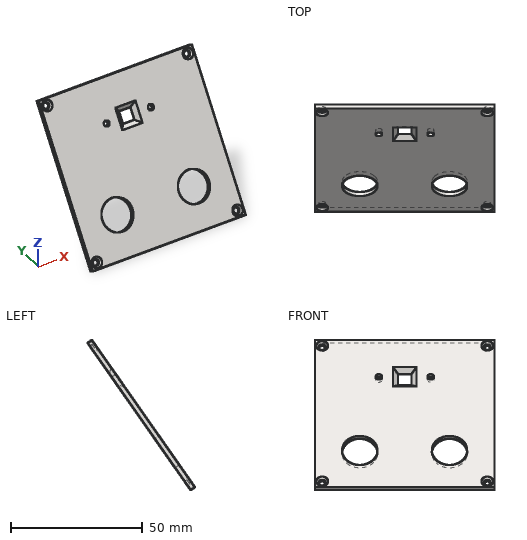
import cadquery as cq

plate_width = 68.5
plate_length = 68.625
plate_thickness = 2.0
tilt_from_horizontal = 55.0

screw_inset = 2.75
screw_diameter = 2.6
countersink_diameter = 4.4
countersink_angle = 90.0

opening_diameter = 13.5
opening_spacing = plate_width / 2
opening_height = -plate_length / 4
opening_offset = -0.03

window_height = plate_length / 4
window_taper_per_side = plate_thickness
window_back_size = 5.0
window_front_size = window_back_size + 2 * window_taper_per_side
side_hole_diameter = 2.4
side_hole_spacing = 19.78


def make_plate():
    """Flat plate centred on the origin, front face up, upper edge towards +Y."""
    return cq.Workplane("XY").box(plate_width, plate_length, plate_thickness)


def front_face(plate):
    """Workplane on the front face of the flat plate, centred on the plate."""
    return plate.faces(">Z").workplane(origin=(0, 0, 0))


def cut_screw_holes(plate):
    """Countersink the four corner holes from the front face."""
    spacing_x = plate_width - 2 * screw_inset
    spacing_y = plate_length - 2 * screw_inset
    return (
        front_face(plate)
        .rect(spacing_x, spacing_y, forConstruction=True)
        .vertices()
        .cskHole(screw_diameter, countersink_diameter, countersink_angle)
    )


def cut_hole_pair(plate, diameter, spacing, height, offset=0.0):
    """Drill two through holes side by side; offset shifts the pair along X."""
    centres = [(offset + side * spacing / 2, height) for side in (-1, 1)]
    return front_face(plate).pushPoints(centres).hole(diameter)


def cut_window(plate):
    """Cut the square window that narrows from the front face to the back face."""
    window = (
        cq.Workplane("XY", origin=(0, window_height, -plate_thickness / 2))
        .rect(window_back_size, window_back_size)
        .workplane(offset=plate_thickness)
        .rect(window_front_size, window_front_size)
        .loft(ruled=True)
    )
    return plate.cut(window)


def tilt(plate):
    """Raise the upper edge so that the front face looks towards -Y and +Z."""
    return plate.rotate((0, 0, 0), (1, 0, 0), tilt_from_horizontal)


panel = make_plate()
panel = cut_screw_holes(panel)
panel = cut_hole_pair(panel, opening_diameter, opening_spacing, opening_height, opening_offset)
panel = cut_hole_pair(panel, side_hole_diameter, side_hole_spacing, window_height)
panel = cut_window(panel)

result = tilt(panel)